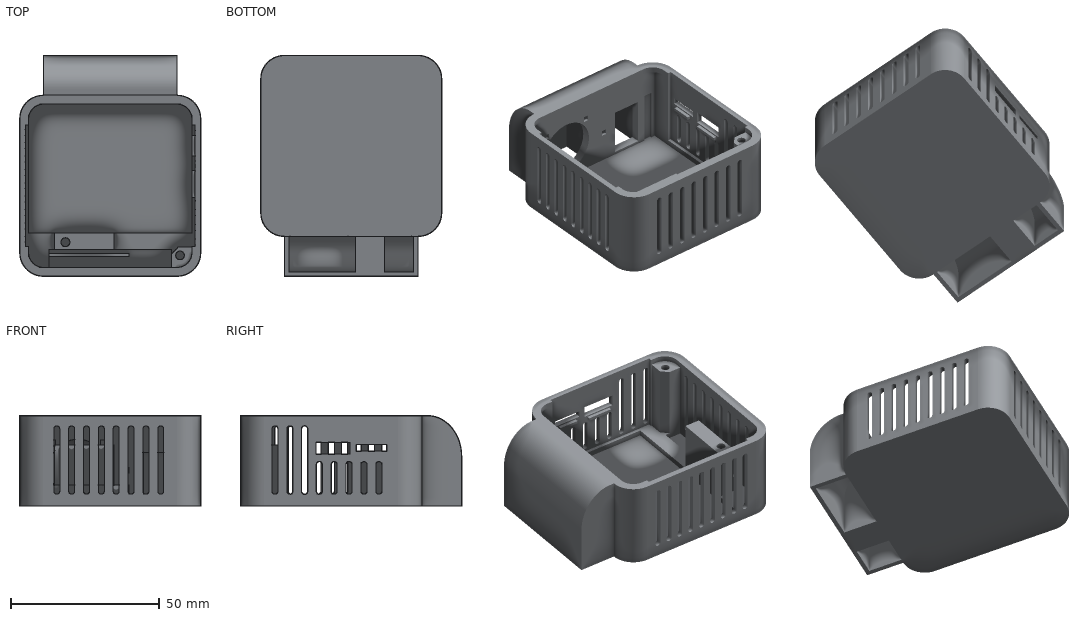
import cadquery as cq
import math

size = 61.0
height = 30.5
corner_radius = 8.0
wall = 3.0
floor_top = 3.0
base_top = 1.0
lip_depth = 2.0
half_size = size / 2
half_cavity = half_size - wall
lip_radius = corner_radius - wall
lip_bottom = height - lip_depth
base_front = -15.9

relief_depth = 1.1
relief_length = 40.8
half_relief = half_cavity + relief_depth

slot_width = 2.0
slot_bottom = 4.0
slot_top = 27.0
short_slot_top = 15.0
slot_count = 8
left_slot_count = 9
slot_pitch = 5.0
left_slot_pitch = 4.5
first_front_slot = -18.0
first_right_slot = -19.0
first_left_slot = -left_slot_pitch * (left_slot_count - 1) / 2
full_right_slots = 3
front_slots = [first_front_slot + slot_pitch * i for i in range(slot_count)]
left_slots = [first_left_slot + left_slot_pitch * i for i in range(left_slot_count)]
right_slots = [first_right_slot + slot_pitch * i for i in range(slot_count)]

connector_windows = [(13.5, 10.2, 18.5, 20.7), (0.6, 11.5, 17.5, 21.5)]
board_ledges = [(13.5, 7.0, 18.0), (0.6, 9.0, 17.0)]
ledge_thickness = 1.0

lens_diameter = 19.51
lens_x = -10.9
lens_z = 12.75
back_window_left = 10.1
back_window_right = 20.3
back_window_bottom = 2.0
back_window_top = 18.1
peg_size = 1.9
peg_offset = 8.5
side_peg_x = 5.4
side_peg_z = 12.1
peg_centres = [
    (lens_x - peg_offset, lens_z + peg_offset),
    (lens_x + peg_offset, lens_z + peg_offset),
    (side_peg_x, side_peg_z),
]
peg_depth = 1.0
groove_depth = 0.6
back_groove_left = 23.0
back_groove_right = 26.0
back_groove_top = 19.3

tray_half_length = 20.55
tray_back = -21.4
rib_right = 6.3
rib_back = -22.8
rib_front = -23.75
rib_top = 7.1
block_left = -18.7
block_right = 1.2
block_top = 20.6
block_hole_x = -15.1
block_hole_y = -19.0
block_hole_diameter = 3.0
post_back = -20.7
post_chamfer = 2.3
post_hole_x = 23.5
post_hole_y = -23.45
post_hole_diameter = 2.92
screw_depth = 10.0

hood_half_width = half_size - corner_radius
hood_depth = 13.43
hood_curve_depth = 11.6
hood_curve_height = 13.8
hood_wall = 1.5
hood_facets = 45
hood_back = half_size + hood_depth
hood_inner_half = hood_half_width - hood_wall
lens_chamber_right = 1.4
window_chamber_left = 11.2
hood_chambers = [(-hood_inner_half, lens_chamber_right), (window_chamber_left, hood_inner_half)]


def box(x0, x1, y0, y1, z0, z1):
    """Box between two opposite corners."""
    return cq.Workplane("XY").box(x1 - x0, y1 - y0, z1 - z0, centered=False).translate((x0, y0, z0))


def front_slot(x):
    """Round-ended vertical slot cutter through the front wall."""
    length = slot_top - slot_bottom
    return (
        cq.Workplane("XZ", origin=(x, -half_cavity, slot_bottom + length / 2))
        .slot2D(length, slot_width, 90)
        .extrude(wall)
    )


def side_slot(side, y, top):
    """Round-ended vertical slot cutter through the left (-1) or right (+1) wall."""
    length = top - slot_bottom
    return (
        cq.Workplane("YZ", origin=(side * half_cavity, y, slot_bottom + length / 2))
        .slot2D(length, slot_width, 90)
        .extrude(side * wall)
    )


def make_shell():
    """Open-topped box with a rounded cavity mouth and a sharp-cornered cavity below it."""
    shell = cq.Workplane("XY").rect(size, size).extrude(height).edges("|Z").fillet(corner_radius)
    mouth = (
        cq.Workplane("XY", origin=(0, 0, lip_bottom))
        .rect(2 * half_cavity, 2 * half_cavity)
        .extrude(lip_depth)
        .edges("|Z")
        .fillet(lip_radius)
    )
    cavity = box(-half_cavity, half_cavity, -half_cavity, half_cavity, floor_top, lip_bottom)
    base_recess = box(-half_cavity, half_cavity, base_front, half_cavity, base_top, floor_top)
    tray = box(-tray_half_length, tray_half_length, -half_cavity, tray_back, base_top, floor_top)
    side_relief = box(
        -half_relief, half_relief, -relief_length / 2, relief_length / 2, floor_top, height
    )
    return shell.cut(mouth).cut(cavity).cut(base_recess).cut(tray).cut(side_relief)


def add_floor_features(body):
    """Tray rib, drilled block and chamfered screw post along the front wall."""
    rib = box(-tray_half_length, rib_right, rib_front, rib_back, base_top, rib_top)
    block = box(block_left, block_right, tray_back, base_front, base_top, block_top)
    post = (
        box(tray_half_length, half_cavity, -half_cavity, post_back, base_top, lip_bottom)
        .edges("|Z and <X and >Y")
        .chamfer(post_chamfer)
    )
    body = body.union(rib).union(block).union(post)
    for x, y, top, diameter in [
        (block_hole_x, block_hole_y, block_top, block_hole_diameter),
        (post_hole_x, post_hole_y, lip_bottom, post_hole_diameter),
    ]:
        hole = cq.Workplane("XY", origin=(x, y, top - screw_depth)).circle(diameter / 2).extrude(screw_depth)
        body = body.cut(hole)
    return body


def add_right_wall_features(body):
    """Connector windows, with a board ledge below each."""
    for y, width, bottom, top in connector_windows:
        body = body.cut(box(half_cavity, half_size, y - width / 2, y + width / 2, bottom, top))
    for y, width, top in board_ledges:
        ledge = box(half_cavity, half_relief, y - width / 2, y + width / 2, top - ledge_thickness, top)
        body = body.union(ledge)
    return body


def cut_vents(body):
    """Slots in the front, left and right walls."""
    for x in front_slots:
        body = body.cut(front_slot(x))
    for y in left_slots:
        body = body.cut(side_slot(-1, y, slot_top))
    for index, y in enumerate(right_slots):
        top = slot_top if index < full_right_slots else short_slot_top
        body = body.cut(side_slot(1, y, top))
    return body


def cut_back_wall(body):
    """Lens hole, window, peg recesses and groove in the back wall."""
    lens = (
        cq.Workplane("XZ", origin=(lens_x, half_size, lens_z)).circle(lens_diameter / 2).extrude(wall)
    )
    window = box(
        back_window_left, back_window_right, half_cavity, half_size, back_window_bottom, back_window_top
    )
    groove_back = half_cavity + groove_depth
    groove = box(
        back_groove_left, back_groove_right, half_cavity, groove_back, base_top, back_groove_top
    )
    body = body.cut(lens).cut(window).cut(groove)
    half_peg = peg_size / 2
    peg_back = half_cavity + peg_depth
    for x, z in peg_centres:
        peg = box(x - half_peg, x + half_peg, half_cavity, peg_back, z - half_peg, z + half_peg)
        body = body.cut(peg)
    return body


def make_housing():
    body = add_floor_features(make_shell())
    body = cut_vents(add_right_wall_features(body))
    return cut_back_wall(body)


def hood_solid(x0, x1, inset):
    """Hood profile, inset at the top and back, extruded between two X positions."""
    curve_depth = hood_curve_depth - inset
    curve_height = hood_curve_height - inset
    centre_y = hood_back - hood_curve_depth
    centre_z = height - hood_curve_height
    curve = []
    for i in range(hood_facets + 1):
        angle = math.pi / 2 * i / hood_facets
        curve.append((centre_y + curve_depth * math.cos(angle), centre_z + curve_height * math.sin(angle)))
    outline = [(half_size, 0), (hood_back - inset, 0)] + curve + [(half_size, height - inset)]
    return cq.Workplane("YZ", origin=(x0, 0, 0)).polyline(outline).close().extrude(x1 - x0)


def make_hood():
    """Faceted hood behind the back wall, with chambers open to the wall and downward."""
    body = hood_solid(-hood_half_width, hood_half_width, 0)
    for left, right in hood_chambers:
        body = body.cut(hood_solid(left, right, hood_wall))
    return body


housing = make_housing()
hood = make_hood()
result = cq.Compound.makeCompound([housing.val(), hood.val()])